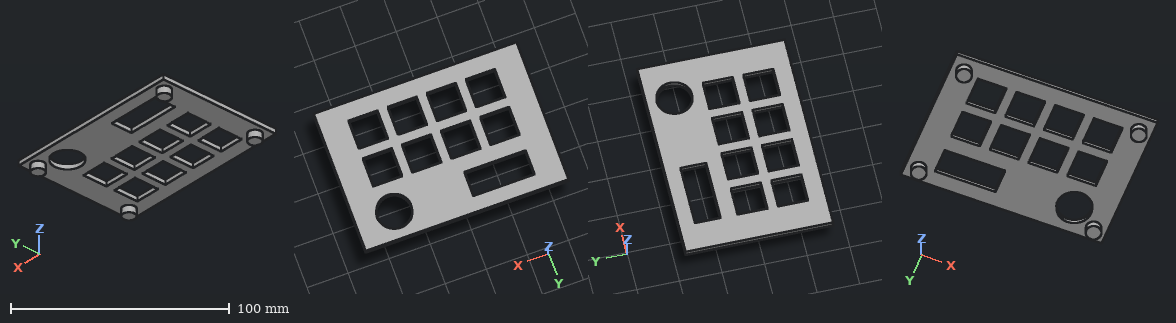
import cadquery as cq

plate_length = 99.0
plate_width = 69.35
plate_thickness = 3.0
left_edge = -plate_length / 2
right_edge = plate_length / 2
front_edge = -plate_width / 2
back_edge = plate_width / 2

key_size = 14.0
key_pitch = 19.05
key_columns = 4
key_rows = 2
front_key_margin = 8.66
key_field_length = (key_columns - 1) * key_pitch + key_size
key_field_width = (key_rows - 1) * key_pitch + key_size
key_field_y = front_edge + front_key_margin + key_field_width / 2

window_length = 29.7
window_width = 12.0
window_back_margin = 7.65
window_x = -key_field_length / 2 + window_length / 2
window_y = back_edge - window_back_margin - window_width / 2

round_diameter = 16.5
round_right_inset = 18.75
round_back_inset = 13.2
round_x = right_edge - round_right_inset
round_y = back_edge - round_back_inset

post_diameter = 7.2
post_height = 4.0
post_left_inset = 6.4
post_right_inset = 6.5
post_front_inset = 7.15
post_back_inset = 6.2
post_columns = (left_edge + post_left_inset, right_edge - post_right_inset)
post_rows = (front_edge + post_front_inset, back_edge - post_back_inset)


def make_plate():
    """Plain rectangular plate standing on Z = 0."""
    return cq.Workplane("XY").box(
        plate_length, plate_width, plate_thickness, centered=(True, True, False)
    )


def make_posts():
    """Four round posts hanging from the underside of the plate."""
    centres = [
        (x, y)
        for x in post_columns
        for y in post_rows
    ]
    return cq.Workplane("XY").pushPoints(centres).circle(post_diameter / 2).extrude(-post_height)


def make_key_openings():
    """Grid of square cutters through the plate."""
    return (
        cq.Workplane("XY")
        .center(0, key_field_y)
        .rarray(key_pitch, key_pitch, key_columns, key_rows)
        .rect(key_size, key_size)
        .extrude(plate_thickness)
    )


def make_window():
    """Rectangular cutter for the display window."""
    return (
        cq.Workplane("XY")
        .center(window_x, window_y)
        .rect(window_length, window_width)
        .extrude(plate_thickness)
    )


def make_round_opening():
    """Cylindrical cutter for the round opening."""
    return (
        cq.Workplane("XY")
        .center(round_x, round_y)
        .circle(round_diameter / 2)
        .extrude(plate_thickness)
    )


result = (
    make_plate()
    .union(make_posts())
    .cut(make_key_openings())
    .cut(make_window())
    .cut(make_round_opening())
)